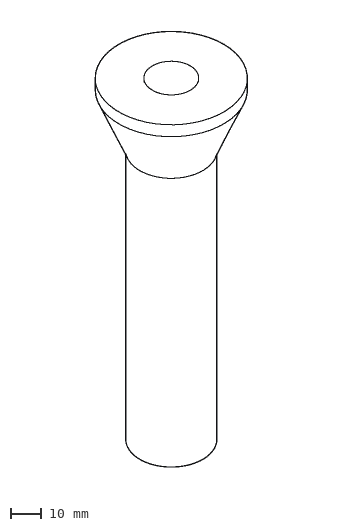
import cadquery as cq

total_length = 150.0
head_diameter = 50.0
shank_diameter = 30.0
bore_diameter = 18.0
head_height = 30.0
rim_height = 5.0

head_radius = head_diameter / 2
shank_radius = shank_diameter / 2
shank_length = total_length - head_height
rim_bottom = total_length - rim_height


def make_body():
    """Revolve the shank, flared head and cylindrical rim about Z."""
    return (
        cq.Workplane("XZ")
        .lineTo(shank_radius, 0)
        .lineTo(shank_radius, shank_length)
        .lineTo(head_radius, rim_bottom)
        .lineTo(head_radius, total_length)
        .lineTo(0, total_length)
        .close()
        .revolve(360, (0, 0, 0), (0, 1, 0))
    )


def make_bore():
    """Straight hole along the full length of the axis."""
    return cq.Workplane("XY").circle(bore_diameter / 2).extrude(total_length)


result = make_body().cut(make_bore())